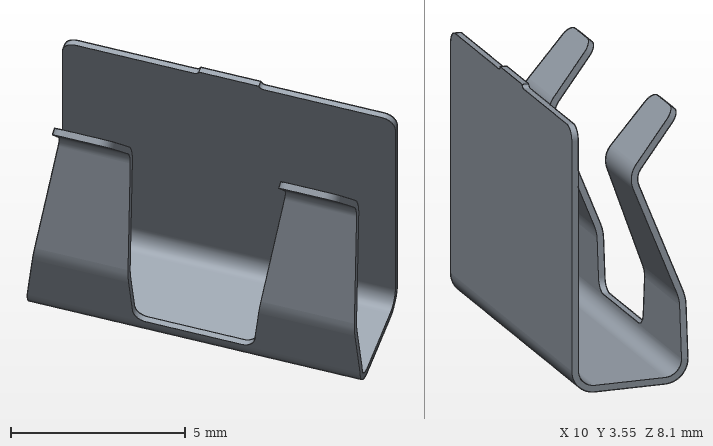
import cadquery as cq
import math

width = 10.0
depth = 3.55
height = 8.1
sheet = 0.2

base_bend_radius = 0.5
shoulder_bend_radius = 1.0
throat_bend_radius = 0.5
lean_angle = 21.0
flare_angle = 39.0

shoulder_height = 2.48
throat_height = 6.14
throat_depth = (throat_height - shoulder_height) * math.tan(math.radians(lean_angle))
tip_height = throat_height + throat_depth / math.tan(math.radians(flare_angle))

back_edge_height = 8.0
back_corner_radius = 0.4
tab_top_width = 1.8
tab_rise = height - back_edge_height
tab_flank_radius = 0.15
tab_flank_run = math.sqrt(tab_flank_radius**2 - (tab_flank_radius - tab_rise) ** 2)

gap_floor_width = 3.6
gap_floor_height = 0.74
gap_corner_radius = 0.4
edge_slope = 0.1
tip_corner_radius = 0.4

base_outer_radius = base_bend_radius + sheet
above_part = height + sheet


def normal_shift(angle):
    """Y and Z shift through the sheet, for a stretch leaning forward from vertical by angle."""
    radians = math.radians(angle)
    return sheet * math.cos(radians), sheet * math.sin(radians)


def miter_shift(first_angle, second_angle):
    """Y and Z shift through the sheet at the corner between two stretches leaning back."""
    middle = (first_angle + second_angle) / 2
    stretch = 1 / math.cos(math.radians((first_angle - second_angle) / 2))
    shift_y, shift_z = normal_shift(middle)
    return shift_y * stretch, -shift_z * stretch


def make_strip():
    """Full-width folded strip: back plate, base and bent front."""
    shoulder_y, shoulder_z = miter_shift(0, lean_angle)
    throat_y, throat_z = miter_shift(lean_angle, -flare_angle)
    tip_y, tip_z = normal_shift(flare_angle)
    shoulder_inside = (shoulder_y, shoulder_height + shoulder_z)
    throat_inside = (throat_depth + throat_y, throat_height + throat_z)
    corners_and_radii = [
        ((0, 0), base_outer_radius),
        ((0, shoulder_height), shoulder_bend_radius + sheet),
        ((throat_depth, throat_height), throat_bend_radius),
        ((0, tip_height), None),
        ((tip_y, tip_height + tip_z), None),
        (throat_inside, throat_bend_radius + sheet),
        (shoulder_inside, shoulder_bend_radius),
        ((sheet, sheet), base_bend_radius),
        ((depth - sheet, sheet), base_bend_radius),
        ((depth - sheet, height), None),
        ((depth, height), None),
        ((depth, 0), base_outer_radius),
    ]
    strip = (
        cq.Workplane("YZ")
        .polyline([corner for corner, _ in corners_and_radii])
        .close()
        .extrude(width / 2, both=True)
    )
    for (y, z), radius in corners_and_radii:
        if radius:
            bend_edge = strip.edges("|X").edges(cq.NearestToPointSelector((0, y, z)))
            strip = bend_edge.fillet(radius)
    return strip


def make_back_cutter():
    """Material to remove around the outline of the back plate."""
    tab_top_half = tab_top_width / 2
    tab_foot_half = tab_top_half + tab_flank_run
    outline = (
        cq.Workplane("XZ", origin=(0, depth, 0))
        .moveTo(-width / 2, back_edge_height - back_corner_radius)
        .radiusArc((back_corner_radius - width / 2, back_edge_height), back_corner_radius)
        .lineTo(-tab_foot_half, back_edge_height)
        .radiusArc((-tab_top_half, height), -tab_flank_radius)
        .lineTo(tab_top_half, height)
        .radiusArc((tab_foot_half, back_edge_height), -tab_flank_radius)
        .lineTo(width / 2 - back_corner_radius, back_edge_height)
        .radiusArc((width / 2, back_edge_height - back_corner_radius), back_corner_radius)
        .lineTo(width / 2, above_part)
        .lineTo(-width / 2, above_part)
        .close()
    )
    return outline.extrude(sheet)


def make_gap_cutter():
    """Flared gap between the two arms, with a rounded floor."""
    floor_half = gap_floor_width / 2
    top_half = floor_half + edge_slope * (above_part - gap_floor_height)
    gap = (
        cq.Workplane("XZ", origin=(0, depth - sheet, 0))
        .moveTo(-floor_half, gap_floor_height)
        .lineTo(floor_half, gap_floor_height)
        .lineTo(top_half, above_part)
        .lineTo(-top_half, above_part)
        .close()
        .extrude(depth)
    )
    return gap.edges("|Y and <Z").fillet(gap_corner_radius)


def make_side_cutter(side):
    """Wedge that tapers the outer edge of one arm; side is -1 or 1."""
    edge = side * width / 2
    top_inset = edge_slope * (above_part - base_outer_radius)
    return (
        cq.Workplane("XZ", origin=(0, depth - sheet, 0))
        .moveTo(edge, base_outer_radius)
        .lineTo(edge - side * top_inset, above_part)
        .lineTo(edge, above_part)
        .close()
        .extrude(depth)
    )


def round_arm_tips(clip):
    """Round both corners of each arm tip."""
    tip_y, tip_z = normal_shift(flare_angle)
    tip_middle = (tip_y / 2, tip_height + tip_z / 2)
    outer_x = width / 2 - edge_slope * (tip_middle[1] - base_outer_radius)
    inner_x = gap_floor_width / 2 + edge_slope * (tip_middle[1] - gap_floor_height)
    for x in (-outer_x, -inner_x, inner_x, outer_x):
        corner_edge = clip.edges(cq.NearestToPointSelector((x, *tip_middle)))
        clip = corner_edge.fillet(tip_corner_radius)
    return clip


clip = make_strip().cut(make_back_cutter()).cut(make_gap_cutter())
for side in (-1, 1):
    clip = clip.cut(make_side_cutter(side))
result = round_arm_tips(clip).solids()